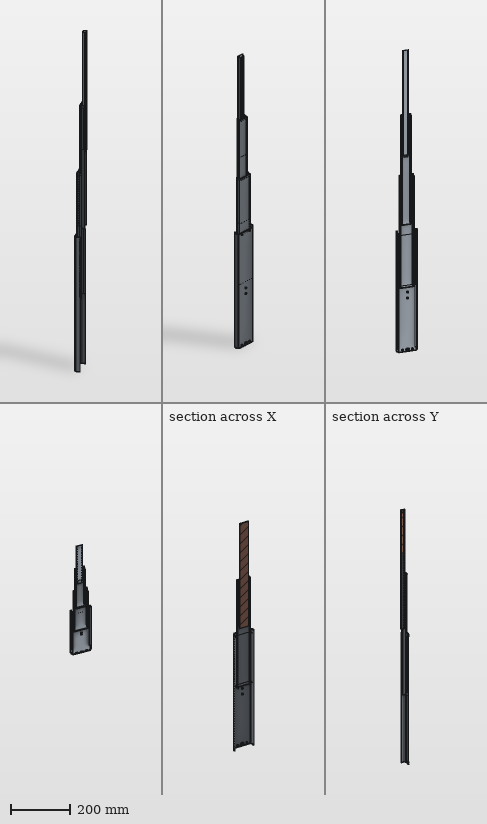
import cadquery as cq
import math


OUTER_BOTTOM, OUTER_TOP = 0.0, 500.0
SECOND_BOTTOM, SECOND_TOP = 266.0, 733.0
THIRD_BOTTOM, THIRD_TOP = 525.0, 982.0
INNER_BOTTOM, INNER_TOP = 807.0, 1250.0
CAGE_END_GAP = 10.0

OUTER_HALF_WIDTH = 74.93 / 2
OUTER_DEPTH = 19.9
OUTER_THICKNESS = 3.0
WEB_HALF_WIDTH = 30.1
SHOULDER_X = 4.5
SHOULDER_SHIFT = 1.0
BULGE_X = 12.6
BULGE_RADIUS = 12.5

SECOND_BACK, SECOND_FRONT = 5.7, 21.6
SECOND_HALF_WIDTH = 24.5
SECOND_THICKNESS = 3.5
SECOND_GROOVE_X, SECOND_GROOVE_WIDTH = 12.6, 7.6
THIRD_BACK, THIRD_FRONT = 14.1, 29.1
THIRD_HALF_WIDTH = 17.0
THIRD_THICKNESS = 3.5
THIRD_GROOVE_X, THIRD_GROOVE_WIDTH = 20.0, 5.0
SECOND_GROOVE_DEPTH = 2.0
THIRD_GROOVE_DEPTH = 1.2

INNER_BACK, INNER_FRONT = 20.6, 32.0
HEAD_HALF_WIDTH = 10.8
HEAD_THICKNESS = 3.0
NOSE_HALF_WIDTH = 7.0
NOSE_SLOT_HALF_WIDTH = 1.9
NOSE_SLOT_DEPTH = 0.8

FIRST_CAGE_BACK, FIRST_CAGE_FRONT = 4.4, 16.5
FIRST_CAGE_HALF_WIDTH = 30.5
SECOND_CAGE_BACK, SECOND_CAGE_FRONT = 9.8, 20.5
SECOND_CAGE_HALF_WIDTH = 20.0
THIRD_CAGE_BACK, THIRD_CAGE_FRONT = 18.2, 27.5
THIRD_CAGE_HALF_WIDTH = 13.2
CAGE_THICKNESS = 1.2

HOLE_DIAMETER = 6.5
MOUNT_HOLE_Y = 17.0
MOUNT_HOLE_END_DISTANCE = 7.5
SCREW_HEAD_DIAMETER = 13.0
SCREW_HOLE_Z = 7.5
SCREW_HEAD_DEPTH = 1.5
CENTER_HOLE_HEIGHTS = (225.0, 250.0)


def extrude_between(section, bottom, top):
    """Extrude a closed XY section from height bottom to height top."""
    return section.extrude(top - bottom).translate((0, 0, bottom))


def channel(back, front, half_width, thickness, bottom, top):
    """Plain U channel with its web at X = back and its open side at X = front."""
    section = (
        cq.Workplane("XY")
        .moveTo(back, -half_width)
        .lineTo(front, -half_width)
        .lineTo(front, thickness - half_width)
        .lineTo(back + thickness, thickness - half_width)
        .lineTo(back + thickness, half_width - thickness)
        .lineTo(front, half_width - thickness)
        .lineTo(front, half_width)
        .lineTo(back, half_width)
        .close()
    )
    return extrude_between(section, bottom, top)


def grooved_channel(back, front, half_width, thickness, groove, bottom, top):
    """U channel with a round groove outside each flange; groove is (X position, width, depth)."""
    groove_x, groove_width, groove_depth = groove
    rail = channel(back, front, half_width, thickness, bottom, top)
    half_groove = groove_width / 2
    radius = (half_groove**2 + groove_depth**2) / (2 * groove_depth)
    center_y = half_width - groove_depth + radius
    grooves = cq.Workplane("XY").pushPoints([(groove_x, -center_y), (groove_x, center_y)]).circle(radius)
    return rail.cut(extrude_between(grooves, bottom, top))


def side_y(x, inset):
    """Half width of the bulged side at x, with the wall surface moved inward by inset."""
    radius = BULGE_RADIUS - inset
    return OUTER_HALF_WIDTH - BULGE_RADIUS + math.sqrt(radius**2 - (x - BULGE_X) ** 2)


def bulged_section(back, shoulder_x, inset):
    """Closed section of the outer rail's envelope, moved inward by inset."""
    shoulder_y = side_y(shoulder_x, inset)
    widest_y = side_y(BULGE_X, inset)
    lip_y = side_y(OUTER_DEPTH, inset)
    return (
        cq.Workplane("XY")
        .moveTo(back, -WEB_HALF_WIDTH)
        .lineTo(shoulder_x, -shoulder_y)
        .threePointArc((BULGE_X, -widest_y), (OUTER_DEPTH, -lip_y))
        .lineTo(OUTER_DEPTH, lip_y)
        .threePointArc((BULGE_X, widest_y), (shoulder_x, shoulder_y))
        .lineTo(back, WEB_HALF_WIDTH)
        .close()
    )


def web_holes(points, diameter, depth):
    """Round cutters that enter the outer web from X = 0; points are (Y, Z)."""
    return cq.Workplane("YZ").pushPoints(points).circle(diameter / 2).extrude(depth)


def make_outer_rail():
    envelope = bulged_section(0, SHOULDER_X, 0)
    cavity = bulged_section(OUTER_THICKNESS, SHOULDER_X + SHOULDER_SHIFT, OUTER_THICKNESS)
    rail = extrude_between(envelope, OUTER_BOTTOM, OUTER_TOP)
    rail = rail.cut(extrude_between(cavity, OUTER_BOTTOM, OUTER_TOP))
    mount_heights = (OUTER_BOTTOM + MOUNT_HOLE_END_DISTANCE, OUTER_TOP - MOUNT_HOLE_END_DISTANCE)
    mount_points = [(side * MOUNT_HOLE_Y, z) for z in mount_heights for side in (-1, 1)]
    center_points = [(0, z) for z in (SCREW_HOLE_Z, *CENTER_HOLE_HEIGHTS)]
    rail = rail.cut(web_holes(mount_points + center_points, HOLE_DIAMETER, OUTER_THICKNESS))
    return rail.cut(web_holes([(0, SCREW_HOLE_Z)], SCREW_HEAD_DIAMETER, SCREW_HEAD_DEPTH))


def make_inner_rail():
    head_back = INNER_FRONT - HEAD_THICKNESS
    slot_floor = INNER_BACK + NOSE_SLOT_DEPTH
    section = (
        cq.Workplane("XY")
        .moveTo(INNER_FRONT, -HEAD_HALF_WIDTH)
        .lineTo(INNER_FRONT, HEAD_HALF_WIDTH)
        .lineTo(head_back, HEAD_HALF_WIDTH)
        .lineTo(head_back, NOSE_HALF_WIDTH)
        .lineTo(INNER_BACK, NOSE_HALF_WIDTH)
        .lineTo(INNER_BACK, NOSE_SLOT_HALF_WIDTH)
        .lineTo(slot_floor, NOSE_SLOT_HALF_WIDTH)
        .lineTo(slot_floor, -NOSE_SLOT_HALF_WIDTH)
        .lineTo(INNER_BACK, -NOSE_SLOT_HALF_WIDTH)
        .lineTo(INNER_BACK, -NOSE_HALF_WIDTH)
        .lineTo(head_back, -NOSE_HALF_WIDTH)
        .lineTo(head_back, -HEAD_HALF_WIDTH)
        .close()
    )
    return extrude_between(section, INNER_BOTTOM, INNER_TOP)


def make_cage(back, front, half_width, overlap_bottom, overlap_top):
    """Ball cage that lies within the overlap of two neighbouring rails."""
    bottom = overlap_bottom + CAGE_END_GAP
    top = overlap_top - CAGE_END_GAP
    return channel(back, front, half_width, CAGE_THICKNESS, bottom, top)


outer_rail = make_outer_rail()
second_rail = grooved_channel(
    SECOND_BACK, SECOND_FRONT, SECOND_HALF_WIDTH, SECOND_THICKNESS,
    (SECOND_GROOVE_X, SECOND_GROOVE_WIDTH, SECOND_GROOVE_DEPTH), SECOND_BOTTOM, SECOND_TOP,
)
third_rail = grooved_channel(
    THIRD_BACK, THIRD_FRONT, THIRD_HALF_WIDTH, THIRD_THICKNESS,
    (THIRD_GROOVE_X, THIRD_GROOVE_WIDTH, THIRD_GROOVE_DEPTH), THIRD_BOTTOM, THIRD_TOP,
)
inner_rail = make_inner_rail()

cage_sizes = [
    (FIRST_CAGE_BACK, FIRST_CAGE_FRONT, FIRST_CAGE_HALF_WIDTH, SECOND_BOTTOM, OUTER_TOP),
    (SECOND_CAGE_BACK, SECOND_CAGE_FRONT, SECOND_CAGE_HALF_WIDTH, THIRD_BOTTOM, SECOND_TOP),
    (THIRD_CAGE_BACK, THIRD_CAGE_FRONT, THIRD_CAGE_HALF_WIDTH, INNER_BOTTOM, THIRD_TOP),
]
cages = [make_cage(*sizes) for sizes in cage_sizes]

result = cq.Compound.makeCompound(
    [
        outer_rail.val(),
        second_rail.val(),
        third_rail.val(),
        inner_rail.val(),
        *[cage.val() for cage in cages],
    ]
)